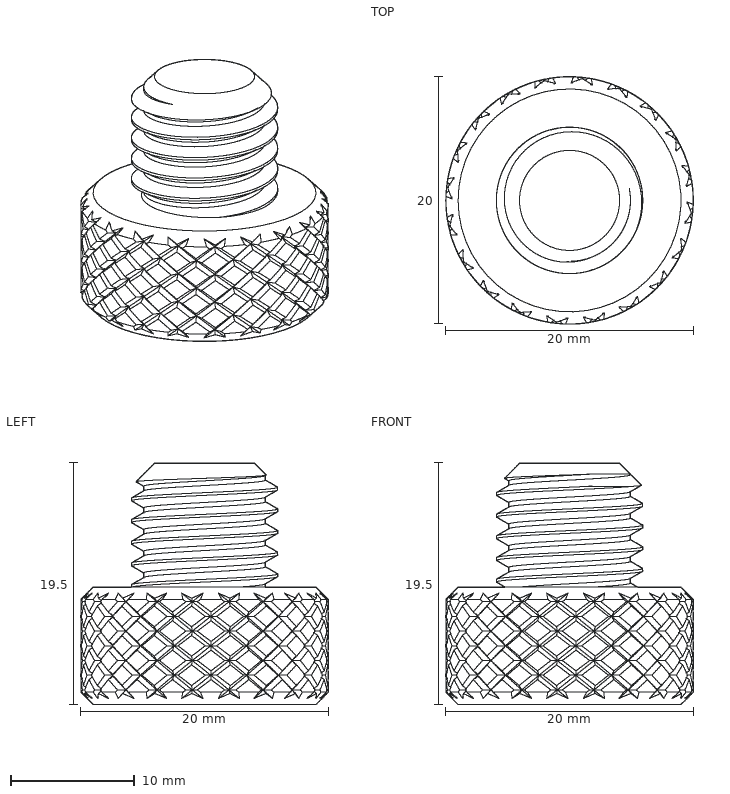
import math
import cadquery as cq

HEAD_DIAMETER = 20.0
HEAD_HEIGHT = 9.5
HEAD_CHAMFER = 1.0

KNURL_COUNT = 20
KNURL_DEPTH = 0.5
KNURL_WIDTH = 0.95
KNURL_TWIST = 72.0

THREAD_LENGTH = 10.0
MAJOR_DIAMETER = 11.83
MINOR_DIAMETER = 9.84
PITCH = 1.75
CREST_WIDTH = PITCH / 8
FLANK_ANGLE = 30.0
TIP_DIAMETER = MINOR_DIAMETER - PITCH
RIDGE_EMBED = 0.1

START_ANGLE = -105.0

AXIS_START = cq.Vector(0, 0, 0)
AXIS_END = cq.Vector(0, 0, 1)
TOLERANCE = 1e-6


def polar(radius, angle):
    """Point at a radius and an angle in degrees."""
    return (radius * math.cos(math.radians(angle)), radius * math.sin(math.radians(angle)))


def knurl_star(twist):
    """Twisted star: its notches are one hand of grooves, its points reach outside the head."""
    root_radius = HEAD_DIAMETER / 2 - KNURL_DEPTH
    half_step = 180 / KNURL_COUNT
    flank_slope = KNURL_WIDTH / 2 / KNURL_DEPTH
    ray_slope = math.tan(math.radians(half_step))
    point_x = root_radius * flank_slope / (flank_slope - ray_slope)
    point_radius = point_x / math.cos(math.radians(half_step))
    outline = []
    for i in range(KNURL_COUNT):
        notch_angle = 2 * i * half_step
        outline.append(polar(root_radius, notch_angle))
        outline.append(polar(point_radius, notch_angle + half_step))
    return cq.Workplane("XY").polyline(outline).close().twistExtrude(HEAD_HEIGHT, twist)


def head_sector():
    """One knurl step of the head, its flat sides halfway between two columns of groove crossings."""
    step = 360 / KNURL_COUNT
    first_side = -step / 4
    wedge = (
        cq.Workplane("XY")
        .polyline([(0, 0), polar(HEAD_DIAMETER, first_side), polar(HEAD_DIAMETER, first_side + step)])
        .close()
        .extrude(HEAD_HEIGHT)
    )
    blank = cq.Workplane("XY").circle(HEAD_DIAMETER / 2).extrude(HEAD_HEIGHT).edges().chamfer(HEAD_CHAMFER)
    sector = blank.intersect(wedge)
    for twist in (KNURL_TWIST, -KNURL_TWIST):
        sector = sector.intersect(knurl_star(twist))
    return sector


def is_sector_side(face):
    """True for the two upright flat faces along which neighbouring sectors meet."""
    return face.geomType() == "PLANE" and math.isclose(face.normalAt().z, 0, abs_tol=TOLERANCE)


def is_below_head_top(face):
    return face.Center().z < HEAD_HEIGHT - TOLERANCE


def head_skin():
    """Outer faces of the knurled head, all round the axis, left open at the head's top face."""
    outer_faces = [
        face for face in head_sector().faces().vals() if is_below_head_top(face) and not is_sector_side(face)
    ]
    skin = []
    for i in range(KNURL_COUNT):
        angle = 360 * i / KNURL_COUNT
        skin.extend(face.rotate(AXIS_START, AXIS_END, angle) for face in outer_faces)
    return skin


def thread_ridge():
    """Helical ridge of trapezoid section, running past both ends of the shank."""
    core_radius = MINOR_DIAMETER / 2
    crest_radius = MAJOR_DIAMETER / 2
    foot_radius = core_radius - RIDGE_EMBED
    crest_half = CREST_WIDTH / 2
    foot_half = crest_half + (crest_radius - foot_radius) * math.tan(math.radians(FLANK_ANGLE))
    start = HEAD_HEIGHT - 1.5 * PITCH
    turns = math.ceil(THREAD_LENGTH / PITCH) + 3
    helix = cq.Wire.makeHelix(PITCH, turns * PITCH, core_radius, center=cq.Vector(0, 0, start))
    section = cq.Workplane("XZ").polyline([
        (foot_radius, start - foot_half),
        (crest_radius, start - crest_half),
        (crest_radius, start + crest_half),
        (foot_radius, start + foot_half),
    ]).close()
    return section.sweep(cq.Workplane(helix), isFrenet=True)


def threaded_shank():
    """Thread trimmed flat at the head face and by the lead-in cone at the tip."""
    overrun = 3 * PITCH
    core = (
        cq.Workplane("XY", origin=(0, 0, HEAD_HEIGHT - overrun))
        .circle(MINOR_DIAMETER / 2)
        .extrude(THREAD_LENGTH + 2 * overrun)
    )
    tip_radius = TIP_DIAMETER / 2
    trim_radius = MAJOR_DIAMETER / 2 + PITCH
    top = HEAD_HEIGHT + THREAD_LENGTH
    envelope = cq.Workplane("XZ").polyline([
        (0, HEAD_HEIGHT),
        (trim_radius, HEAD_HEIGHT),
        (trim_radius, top - (trim_radius - tip_radius)),
        (tip_radius, top),
        (0, top),
    ]).close().revolve(360, (0, 0), (0, 1))
    return envelope.intersect(core.union(thread_ridge()))


def shank_skin():
    """Faces of the shank together with the head's top face around it."""
    top_radius = HEAD_DIAMETER / 2 - HEAD_CHAMFER
    plate = (
        cq.Workplane("XY", origin=(0, 0, HEAD_HEIGHT - HEAD_CHAMFER))
        .circle(top_radius)
        .extrude(HEAD_CHAMFER)
    )
    return [face for face in plate.union(threaded_shank()).faces().vals() if not is_below_head_top(face)]


screw_shell = cq.Shell.makeShell(head_skin() + shank_skin())
screw = cq.Workplane(cq.Solid.makeSolid(screw_shell)).clean()
result = screw.rotate(AXIS_START, AXIS_END, START_ANGLE)